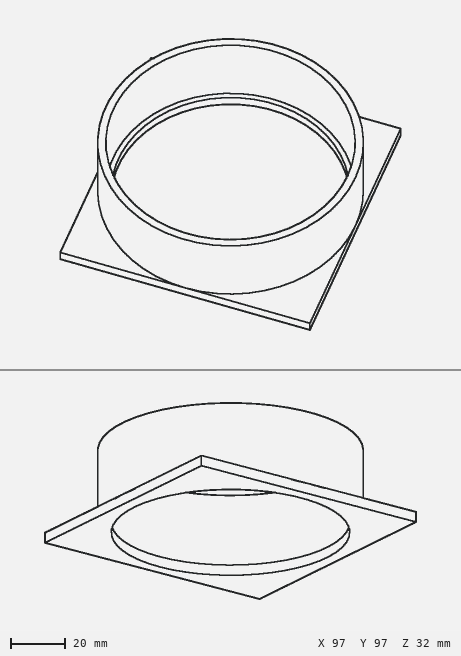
import cadquery as cq

plate_side = 97.0
plate_thickness = 4.0

total_height = 32.0
collar_outer_diameter = plate_side
collar_inner_diameter = 91.0
collar_height = total_height - plate_thickness

opening_diameter = 87.0

plate = (
    cq.Workplane("XY")
    .rect(plate_side, plate_side)
    .circle(opening_diameter / 2)
    .extrude(plate_thickness)
)

collar = (
    cq.Workplane("XY")
    .workplane(offset=plate_thickness)
    .circle(collar_outer_diameter / 2)
    .circle(collar_inner_diameter / 2)
    .extrude(collar_height)
)

result = plate.union(collar)